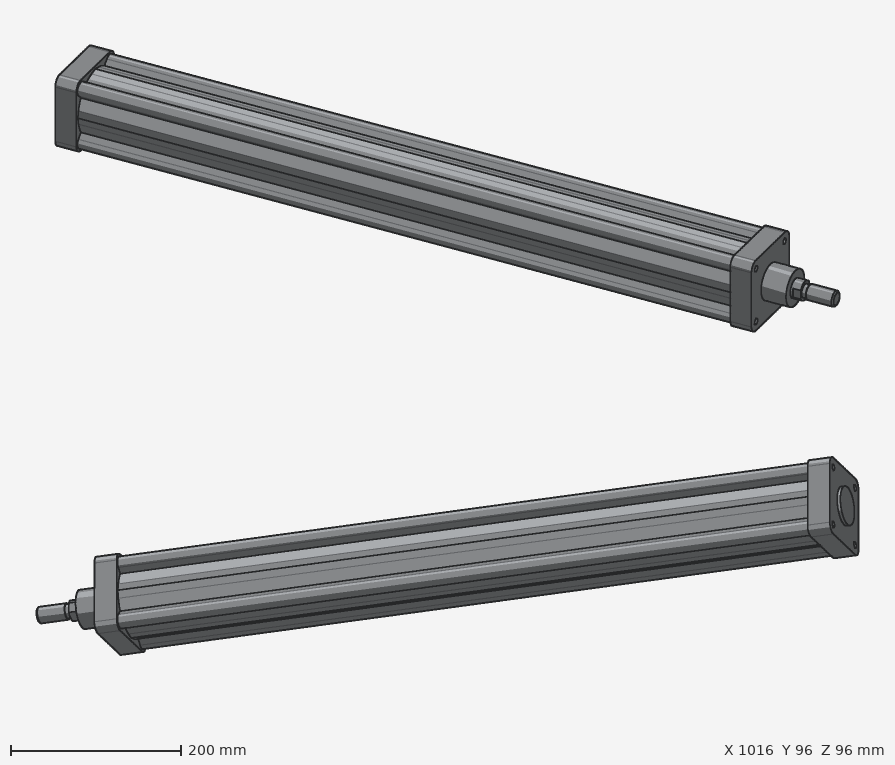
import cadquery as cq
import math

total_length = 1016.0
rear_boss_length = 4.0
cap_length = 28.0
barrel_length = 868.0
front_boss_length = 33.0
rod_land_length = 3.0
flats_length = 10.0
relief_length = 6.0

rear_cap_start = rear_boss_length
barrel_start = rear_cap_start + cap_length
front_cap_start = barrel_start + barrel_length
front_cap_end = front_cap_start + cap_length
front_boss_end = front_cap_end + front_boss_length
flats_start = front_boss_end + rod_land_length
flats_end = flats_start + flats_length
thread_start = flats_end + relief_length

cap_size = 96.0
cap_corner_radius = 11.0
boss_diameter = 47.0
screw_spacing = 72.0
screw_hole_diameter = 7.5
screw_hole_depth = 17.0

barrel_radius = 43.2
rib_radius = 9.0
rib_offset = screw_spacing / 2
ridge_half_width = 9.1

rod_diameter = 25.0
flats_width = 22.0
relief_diameter = 17.5
thread_diameter = 20.0
thread_chamfer = 2.0


def cylinder_along_x(start, length, diameter):
    return cq.Workplane("YZ", origin=(start, 0, 0)).circle(diameter / 2).extrude(length)


def cap_plate(start):
    return (
        cq.Workplane("YZ", origin=(start, 0, 0))
        .rect(cap_size, cap_size)
        .extrude(cap_length)
        .edges("|X")
        .fillet(cap_corner_radius)
    )


def screw_holes(start, depth):
    return (
        cq.Workplane("YZ", origin=(start, 0, 0))
        .rect(screw_spacing, screw_spacing, forConstruction=True)
        .vertices()
        .circle(screw_hole_diameter / 2)
        .extrude(depth)
    )


def make_rear_cap():
    boss = cylinder_along_x(0, rear_boss_length, boss_diameter)
    holes = screw_holes(rear_cap_start, screw_hole_depth)
    return cap_plate(rear_cap_start).union(boss).cut(holes)


def make_front_cap():
    boss = cylinder_along_x(front_cap_end, front_boss_length, boss_diameter)
    rod_bore = cylinder_along_x(front_cap_start, front_boss_end - front_cap_start, rod_diameter)
    holes = screw_holes(front_cap_end, -screw_hole_depth)
    return cap_plate(front_cap_start).union(boss).cut(rod_bore).cut(holes)


def corner_rib(angle):
    rib_distance = rib_offset * math.sqrt(2)
    return (
        cq.Workplane("YZ", origin=(barrel_start, 0, 0))
        .moveTo(0, -rib_radius)
        .lineTo(rib_distance, -rib_radius)
        .threePointArc((rib_distance + rib_radius, 0), (rib_distance, rib_radius))
        .lineTo(0, rib_radius)
        .close()
        .extrude(barrel_length)
        .rotate((0, 0, 0), (1, 0, 0), angle)
    )


def side_ridge(angle):
    tangent_distance = math.sqrt(barrel_radius**2 - ridge_half_width**2)
    crest_distance = barrel_radius**2 / tangent_distance
    return (
        cq.Workplane("YZ", origin=(barrel_start, 0, 0))
        .moveTo(0, 0)
        .lineTo(tangent_distance, -ridge_half_width)
        .lineTo(crest_distance, 0)
        .lineTo(tangent_distance, ridge_half_width)
        .close()
        .extrude(barrel_length)
        .rotate((0, 0, 0), (1, 0, 0), angle)
    )


def make_barrel():
    barrel = cylinder_along_x(barrel_start, barrel_length, 2 * barrel_radius)
    for quarter in range(4):
        barrel = barrel.union(corner_rib(45 + 90 * quarter)).union(side_ridge(90 * quarter))
    return barrel


def make_rod():
    shank = cylinder_along_x(front_cap_start, flats_end - front_cap_start, rod_diameter)
    round_length = cylinder_along_x(front_cap_start, flats_start - front_cap_start, rod_diameter)
    wrench_flats = (
        cq.Workplane("YZ", origin=(flats_start, 0, 0))
        .rect(flats_width, rod_diameter)
        .extrude(flats_length)
    )
    shank = shank.intersect(round_length.union(wrench_flats))
    relief = cylinder_along_x(flats_end, relief_length, relief_diameter)
    thread = cylinder_along_x(thread_start, total_length - thread_start, thread_diameter)
    thread = thread.faces(">X").chamfer(thread_chamfer)
    return shank.union(relief).union(thread)


rear_cap = make_rear_cap()
barrel = make_barrel()
front_cap = make_front_cap()
rod = make_rod()

result = cq.Compound.makeCompound([rear_cap.val(), barrel.val(), front_cap.val(), rod.val()])